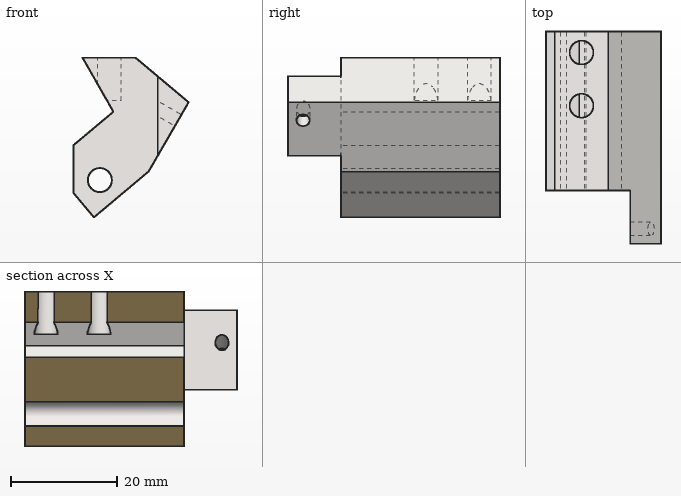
import cadquery as cq
import math

width = 21.7
length = 40.0
height = 30.1
tab_length = 10.0

lower_angle = 40.0
upper_angle = 60.0
lower_tip_x = 3.9
left_face_top = 13.6
top_left_x = 1.7
top_width = 10.0
notch_x = 7.5

tab_inner_x = 15.9
main_hole_diameter = 4.5
pivot_x = 5.0
pivot_z = 7.05
top_hole_x = 6.7
top_hole_depth = 8.0
top_hole_edge = 4.0
top_hole_pitch = 10.0
top_hole_count = 2
tab_hole_diameter = 2.5
tab_hole_y = 2.9
tab_hole_z = 20.5

lower_slope = math.tan(math.radians(lower_angle))
upper_slope = math.tan(math.radians(upper_angle))

left_face_bottom = lower_tip_x / lower_slope
notch_z = left_face_top + notch_x * lower_slope
top_right_x = top_left_x + top_width
right_tip_z = height - (width - top_right_x) * lower_slope
elbow_x = (upper_slope * width - right_tip_z - lower_slope * lower_tip_x) / (upper_slope - lower_slope)
elbow_z = lower_slope * (elbow_x - lower_tip_x)

profile = [
    (lower_tip_x, 0),
    (elbow_x, elbow_z),
    (width, right_tip_z),
    (top_right_x, height),
    (top_left_x, height),
    (notch_x, notch_z),
    (0, left_face_top),
    (0, left_face_bottom),
]


def make_body():
    """Bent bar whose front end is cut back to leave a triangular tab."""
    bar = cq.Workplane("XZ").polyline(profile).close().extrude(-length)
    cutback = cq.Workplane("XY").box(tab_inner_x, tab_length, height, centered=False)
    return bar.cut(cutback)


def make_hole(diameter, depth, start, direction):
    """Cylinder to cut away, running from start along direction."""
    cylinder = cq.Solid.makeCylinder(diameter / 2, depth, cq.Vector(*start), cq.Vector(*direction))
    return cq.Workplane(cylinder)


result = make_body()

result = result.cut(make_hole(main_hole_diameter, length, (pivot_x, 0, pivot_z), (0, 1, 0)))

for index in range(top_hole_count):
    hole_y = length - top_hole_edge - index * top_hole_pitch
    start = (top_hole_x, hole_y, height)
    result = result.cut(make_hole(main_hole_diameter, top_hole_depth, start, (0, 0, -1)))

axis_x = math.sin(math.radians(upper_angle))
axis_z = -math.cos(math.radians(upper_angle))
lead_in = tab_hole_diameter
tab_hole_start = (tab_inner_x - lead_in * axis_x, tab_hole_y, tab_hole_z - lead_in * axis_z)
result = result.cut(make_hole(tab_hole_diameter, width, tab_hole_start, (axis_x, 0, axis_z)))